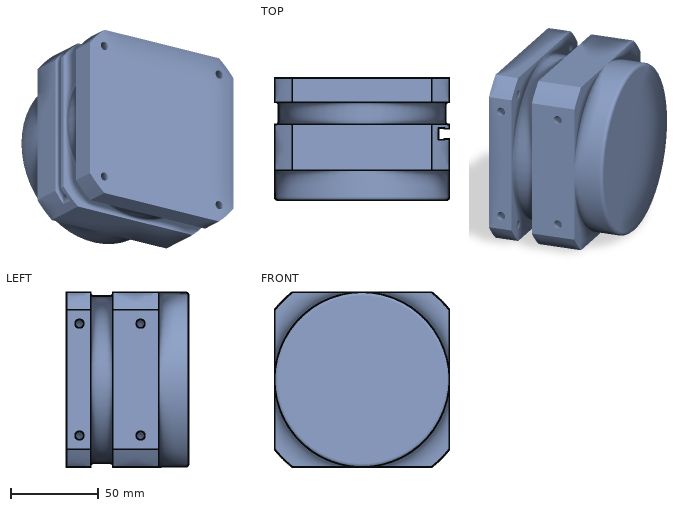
import cadquery as cq

width = 100.0
length = 70.0
corner_diameter = 128.0

flange_end = 14.0
block_start = 26.5
block_end = 52.8

neck_diameter = 96.0
neck_fillet = 1.0
front_fillet = 2.0

hole_diameter = 4.9
flange_hole_offset = 40.0
side_hole_height = 32.0
side_hole_stations = (7.5, 42.5)
side_hole_depth = 10.0
drill_tip_depth = 1.4

slot_center = 32.0
slot_mouth_width = 5.6
slot_mouth_depth = 2.9
slot_inner_width = 6.5
slot_depth = 6.1


def cylinder(diameter, start, end):
    """Cylinder about the Y axis between two stations."""
    plane = cq.Workplane("XZ", origin=(0, -start, 0))
    return plane.circle(diameter / 2).extrude(end - start)


def rounded_square(start, end):
    """Square plate whose corners lie on the turned diameter."""
    plane = cq.Workplane("XZ", origin=(0, -start, 0))
    square = plane.rect(width, width).extrude(end - start)
    return square.intersect(cylinder(corner_diameter, start, end))


def neck():
    """Round neck that flares out with a concave fillet at both ends."""
    radius = neck_diameter / 2
    flared_radius = radius + neck_fillet
    arc_sag = neck_fillet * 0.5 ** 0.5
    profile = (
        cq.Workplane("XY")
        .moveTo(0, -flange_end)
        .lineTo(flared_radius, -flange_end)
        .threePointArc(
            (flared_radius - arc_sag, -flange_end - neck_fillet + arc_sag),
            (radius, -flange_end - neck_fillet),
        )
        .lineTo(radius, -block_start + neck_fillet)
        .threePointArc(
            (flared_radius - arc_sag, -block_start + neck_fillet - arc_sag),
            (flared_radius, -block_start),
        )
        .lineTo(0, -block_start)
        .close()
    )
    return profile.revolve(360, (0, 0, 0), (0, 1, 0))


def flange_holes():
    """Four through holes in the corners of the back flange."""
    spacing = 2 * flange_hole_offset
    plane = cq.Workplane("XZ").rarray(spacing, spacing, 2, 2)
    return plane.circle(hole_diameter / 2).extrude(flange_end)


def side_hole(station, height):
    """Blind drilled hole with a conical bottom, entering from the -X side."""
    radius = hole_diameter / 2
    bottom = -width / 2 + side_hole_depth
    profile = cq.Workplane("XY").polyline([
        (-width / 2, 0),
        (-width / 2, radius),
        (bottom, radius),
        (bottom + drill_tip_depth, 0),
    ]).close()
    return profile.revolve(360, (0, 0, 0), (1, 0, 0)).translate((0, -station, height))


def slot_cut(depth, slot_width):
    """Rectangular groove along the full height of the +X side."""
    groove = cq.Workplane("XY").box(depth, slot_width, width)
    return groove.translate((width / 2 - depth / 2, -slot_center, 0))


def slot_undercut():
    """Wider inner part of the T-slot, behind the mouth."""
    depth = slot_depth - slot_mouth_depth
    return slot_cut(depth, slot_inner_width).translate((-slot_mouth_depth, 0, 0))


front_cap = cylinder(width, block_end, length).faces("<Y").edges().fillet(front_fillet)
body = rounded_square(0, flange_end).union(neck())
body = body.union(rounded_square(block_start, block_end)).union(front_cap)

body = body.cut(flange_holes())
for station in side_hole_stations:
    for height in (-side_hole_height, side_hole_height):
        body = body.cut(side_hole(station, height))
body = body.cut(slot_cut(slot_depth, slot_mouth_width)).cut(slot_undercut())

result = body